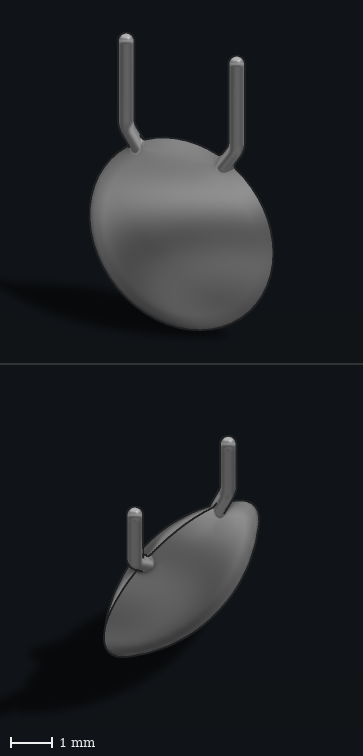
import cadquery as cq
import math

body_diameter = 5.0
body_thickness = 2.0

overall_height = 7.5
wire_radius = 0.2
lead_spacing = 3.0
bend_start = 2.715
bend_radius = 0.5
bend_angle = math.radians(35)
foot_length = 0.675
joint_fillet = 0.1

body_radius = body_diameter / 2
cap_height = body_thickness / 2
sphere_radius = (body_radius**2 + cap_height**2) / (2 * cap_height)
sphere_offset = sphere_radius - cap_height
lead_offset = lead_spacing / 2
lead_top = overall_height - body_radius


def lens_body():
    """Revolve half of the lens section about the Y axis."""
    half_arc = math.asin(body_radius / sphere_radius) / 2
    mid_radius = sphere_radius * math.sin(half_arc)
    mid_height = sphere_radius * math.cos(half_arc) - sphere_offset
    section = (
        cq.Workplane("XY")
        .moveTo(0, -cap_height)
        .threePointArc((mid_radius, -mid_height), (body_radius, 0))
        .threePointArc((mid_radius, mid_height), (0, cap_height))
        .close()
    )
    return section.revolve(360, (0, 0, 0), (0, 1, 0))


def lead(side):
    """Upright wire with a domed tip, bent inward at its foot and ending inside the body."""

    def on_bend(angle):
        inward = bend_radius * (1 - math.cos(angle))
        drop = bend_radius * math.sin(angle)
        return (side * (lead_offset - inward), bend_start - drop)

    bend_end = on_bend(bend_angle)
    foot_end = (
        bend_end[0] - side * foot_length * math.sin(bend_angle),
        bend_end[1] - foot_length * math.cos(bend_angle),
    )
    dome_base = lead_top - wire_radius
    path = (
        cq.Workplane("XZ")
        .moveTo(side * lead_offset, dome_base)
        .lineTo(side * lead_offset, bend_start)
        .threePointArc(on_bend(bend_angle / 2), bend_end)
        .lineTo(*foot_end)
    )
    tip_plane = cq.Plane((side * lead_offset, 0, dome_base), xDir=(0, 1, 0))
    tip_base = cq.Workplane(tip_plane)
    wire = tip_base.circle(wire_radius).sweep(path)
    return wire.union(tip_base.sphere(wire_radius))


result = lens_body()
for side in (-1, 1):
    result = result.union(lead(side))

result = result.edges("%BSPLINE").fillet(joint_fillet)